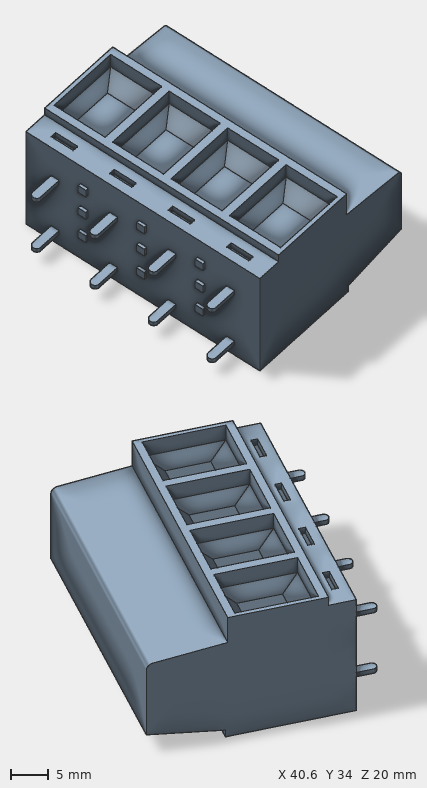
import cadquery as cq

pole_count = 4
pole_pitch = 10.15
body_width = pole_count * pole_pitch
body_depth = 29.48
body_height = 20.0

ledge_depth = 3.9
ledge_drop = 1.35
top_back = 18.05
slope_start_drop = 4.2
slope_end_drop = 5.2
back_edge_radius = 1.0
foot_back = 18.38
foot_height = 1.15
back_underside_height = 3.0

pocket_width = 8.85
pocket_length = 11.75
pocket_floor_width = 5.55
pocket_floor_length = 6.42
pocket_straight_depth = 2.5
pocket_taper_depth = 1.8
pocket_center_y = (ledge_depth + top_back) / 2

slot_width = 3.82
slot_length = 0.95
slot_depth = 1.0
slot_center_y = 1.95

pin_width = 1.4
pin_thickness = 0.75
pin_length = 4.5
pin_tip_height = 0.6
pin_heights = (2.5, 12.65)

pad_size = 1.35
pad_projection = 0.5
pad_heights = (5.25, 9.95, 14.45)

pole_positions = [(i - (pole_count - 1) / 2) * pole_pitch for i in range(pole_count)]
gap_positions = [x + pole_pitch / 2 for x in pole_positions[:-1]]


def make_body():
    """Extrude the stepped side profile and round the upper back edge."""
    profile = [
        (0, 0),
        (foot_back, 0),
        (foot_back, foot_height),
        (body_depth, back_underside_height),
        (body_depth, body_height - slope_end_drop),
        (top_back, body_height - slope_start_drop),
        (top_back, body_height),
        (ledge_depth, body_height),
        (ledge_depth, body_height - ledge_drop),
        (0, body_height - ledge_drop),
    ]
    block = cq.Workplane("YZ").polyline(profile).close().extrude(body_width / 2, both=True)
    upper_back_edge = block.faces(">Y").edges(">Z")
    return upper_back_edge.fillet(back_edge_radius)


def make_pocket(x):
    """Funnel: straight walls at the mouth, then a taper to a smaller flat floor."""
    mouth = (
        cq.Workplane("XY", origin=(x, pocket_center_y, body_height))
        .rect(pocket_width, pocket_length)
        .extrude(-pocket_straight_depth)
    )
    funnel = (
        cq.Workplane("XY", origin=(x, pocket_center_y, body_height - pocket_straight_depth))
        .rect(pocket_width, pocket_length)
        .workplane(offset=-pocket_taper_depth)
        .rect(pocket_floor_width, pocket_floor_length)
        .loft(ruled=True)
    )
    return mouth.union(funnel)


def make_slot(x):
    """Shallow rectangular slot sunk into the ledge."""
    return (
        cq.Workplane("XY", origin=(x, slot_center_y, body_height - ledge_drop))
        .rect(slot_width, slot_length)
        .extrude(-slot_depth)
    )


def make_pin(x, z):
    """Flat pin pointing along -Y with a rounded tip."""
    half_width = pin_width / 2
    return (
        cq.Workplane("XY", origin=(x, 0, z))
        .moveTo(-half_width, 0)
        .lineTo(-half_width, pin_tip_height - pin_length)
        .threePointArc((0, -pin_length), (half_width, pin_tip_height - pin_length))
        .lineTo(half_width, 0)
        .close()
        .extrude(pin_thickness / 2, both=True)
    )


def make_pad(x, z):
    """Square pad standing out of the pin face."""
    return cq.Workplane("XZ", origin=(x, 0, z)).rect(pad_size, pad_size).extrude(pad_projection)


result = make_body()

for pole_x in pole_positions:
    result = result.cut(make_pocket(pole_x)).cut(make_slot(pole_x))
    for pin_z in pin_heights:
        result = result.union(make_pin(pole_x, pin_z))

for gap_x in gap_positions:
    for pad_z in pad_heights:
        result = result.union(make_pad(gap_x, pad_z))